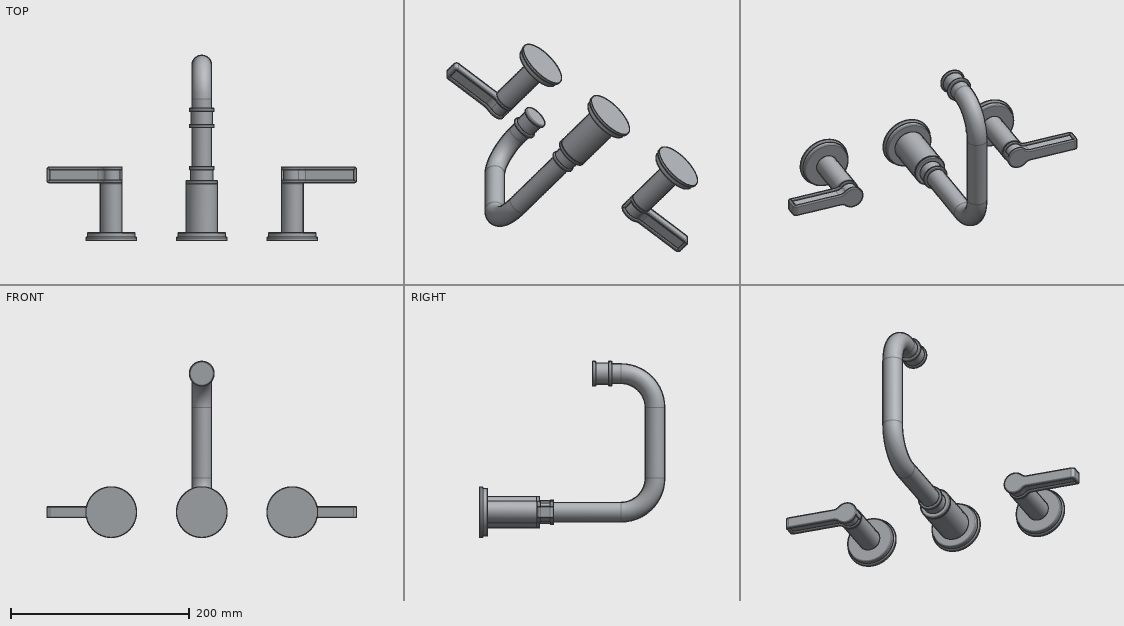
import cadquery as cq
import math

FLANGE_RADIUS = 28.5
DISK_THICKNESS = 4.0
STEP_RADIUS = 26.8
STEP_TOP = 9.0
DISK_ROUND = 1.5
STEP_ROUND = 1.0

COLLAR_WIDTH = 4.0
EDGE_ROUND = 1.0

TUBE_RADIUS = 11.0
BEND_RADIUS = 38.3
SPOUT_REACH = 208.0
TUBE_RISE = 155.5
OUTLET_FACE = 126.5
OUTLET_LENGTH = 22.0
OUTLET_RADIUS = 12.2
COLLAR_RADIUS = 14.0
SLEEVE_RADIUS = 17.7
SLEEVE_TOP = 67.5
NECK_RADIUS = 13.0
COLLAR_TOP = 83.0

HANDLE_SPACING = 101.5
OVERALL_WIDTH = 348.0
POST_DIAMETER = 24.7
LEVER_BOTTOM = 64.7
LEVER_TOP = 82.8
LEVER_THICKNESS = 12.5
LEVER_END_ROUND = 3.5
HUB_BLEND = 8.7
RIM_WIDTH = 3.5
PANEL_DEPTH = 2.0
HUB_WALL = 2.5

TOLERANCE = 0.05

POST_RADIUS = POST_DIAMETER / 2
LEVER_LENGTH = OVERALL_WIDTH / 2 - HANDLE_SPACING
TUBE_AXIS_Y = SPOUT_REACH - TUBE_RADIUS
BEND_START_Y = TUBE_AXIS_Y - BEND_RADIUS


def disk(radius, start, end, z=0.0):
    """A cylinder along Y from start to end, centred on X = 0 at height z."""
    plane = cq.Plane(origin=(0, start, z), xDir=(1, 0, 0), normal=(0, 1, 0))
    return cq.Workplane(plane).circle(radius).extrude(end - start)


def collar(radius, start, z=0.0):
    """A short ring around the spout with both rims rounded."""
    return disk(radius, start, start + COLLAR_WIDTH, z).edges().fillet(EDGE_ROUND)


def wall_flange():
    """The round base that sits against the wall at Y = 0."""
    base = disk(FLANGE_RADIUS, 0, DISK_THICKNESS).faces(">Y").edges().fillet(DISK_ROUND)
    step = disk(STEP_RADIUS, 0, STEP_TOP).faces(">Y").edges().fillet(STEP_ROUND)
    return base.union(step)


def make_spout():
    """Flange, sleeve, neck and a twice-bent tube that ends in a collared outlet facing -Y."""
    path = (
        cq.Workplane("YZ")
        .moveTo(SLEEVE_TOP, 0)
        .lineTo(BEND_START_Y, 0)
        .radiusArc((TUBE_AXIS_Y, BEND_RADIUS), -BEND_RADIUS)
        .lineTo(TUBE_AXIS_Y, TUBE_RISE - BEND_RADIUS)
        .radiusArc((BEND_START_Y, TUBE_RISE), -BEND_RADIUS)
        .lineTo(OUTLET_FACE, TUBE_RISE)
    )
    start = cq.Plane(origin=(0, SLEEVE_TOP, 0), xDir=(1, 0, 0), normal=(0, 1, 0))
    tube = cq.Workplane(start).circle(TUBE_RADIUS).sweep(path)
    sleeve_joint = SLEEVE_TOP - COLLAR_WIDTH
    neck_end = COLLAR_TOP - COLLAR_WIDTH
    outlet_back = OUTLET_FACE + OUTLET_LENGTH
    return (
        wall_flange()
        .union(disk(SLEEVE_RADIUS, 0, sleeve_joint))
        .union(collar(SLEEVE_RADIUS, sleeve_joint))
        .union(disk(NECK_RADIUS, 0, neck_end))
        .union(collar(COLLAR_RADIUS, neck_end))
        .union(tube)
        .union(disk(OUTLET_RADIUS, OUTLET_FACE + COLLAR_WIDTH, outlet_back - COLLAR_WIDTH, TUBE_RISE))
        .union(collar(COLLAR_RADIUS, OUTLET_FACE, TUBE_RISE))
        .union(collar(COLLAR_RADIUS, outlet_back - COLLAR_WIDTH, TUBE_RISE))
    )


def lever_outline(start, end, hub_radius, thickness, length, blend):
    """Round hub and straight arm along +X, blended together, between two Y levels."""
    hub = disk(hub_radius, start, end)
    arm = cq.Workplane("XY").box(length, end - start, thickness, centered=(False, False, True))
    outline = hub.union(arm.translate((0, start, 0)))
    corner_x = math.sqrt(hub_radius**2 - (thickness / 2) ** 2)
    near_z = thickness / 2 + TOLERANCE
    inner_corners = cq.selectors.BoxSelector(
        (corner_x - TOLERANCE, start, -near_z), (corner_x + TOLERANCE, end, near_z)
    )
    return outline.edges("|Y").edges(inner_corners).fillet(blend)


def make_handle():
    """Flange and post carrying a lever that points along +X."""
    lever = lever_outline(
        LEVER_BOTTOM, LEVER_TOP, POST_RADIUS, LEVER_THICKNESS, LEVER_LENGTH, HUB_BLEND
    )
    lever = lever.faces(">X").edges("|Z").fillet(LEVER_END_ROUND)
    lever = lever.faces("<Y or >Y").edges().fillet(EDGE_ROUND)

    panel_bottom = LEVER_BOTTOM + RIM_WIDTH
    panel_top = LEVER_TOP - RIM_WIDTH
    core = lever_outline(
        panel_bottom, panel_top, POST_RADIUS - PANEL_DEPTH, LEVER_THICKNESS - 2 * PANEL_DEPTH,
        LEVER_LENGTH, HUB_BLEND + PANEL_DEPTH,
    )
    pocket_start = HUB_WALL - POST_RADIUS
    pocket_end = LEVER_LENGTH - RIM_WIDTH
    band = cq.Workplane("XY").box(
        pocket_end - pocket_start, panel_top - panel_bottom, POST_DIAMETER, centered=(False, False, True)
    )
    band = band.translate((pocket_start, panel_bottom, 0))
    lever = lever.cut(band.cut(core))

    mouth_edges = [
        edge
        for edge in lever.edges().vals()
        if panel_bottom - TOLERANCE < edge.Center().y < panel_top + TOLERANCE
        and edge.distance(core.val()) > PANEL_DEPTH / 2
    ]
    lever = lever.newObject(mouth_edges).fillet(EDGE_ROUND)

    post = disk(POST_RADIUS, 0, LEVER_BOTTOM).faces(">Y").edges().fillet(EDGE_ROUND)
    return wall_flange().union(post).union(lever)


spout = make_spout()
right_handle = make_handle().translate((HANDLE_SPACING, 0, 0))
handles = [right_handle, right_handle.mirror("YZ")]

result = cq.Compound.makeCompound([spout.val(), *[handle.val() for handle in handles]])